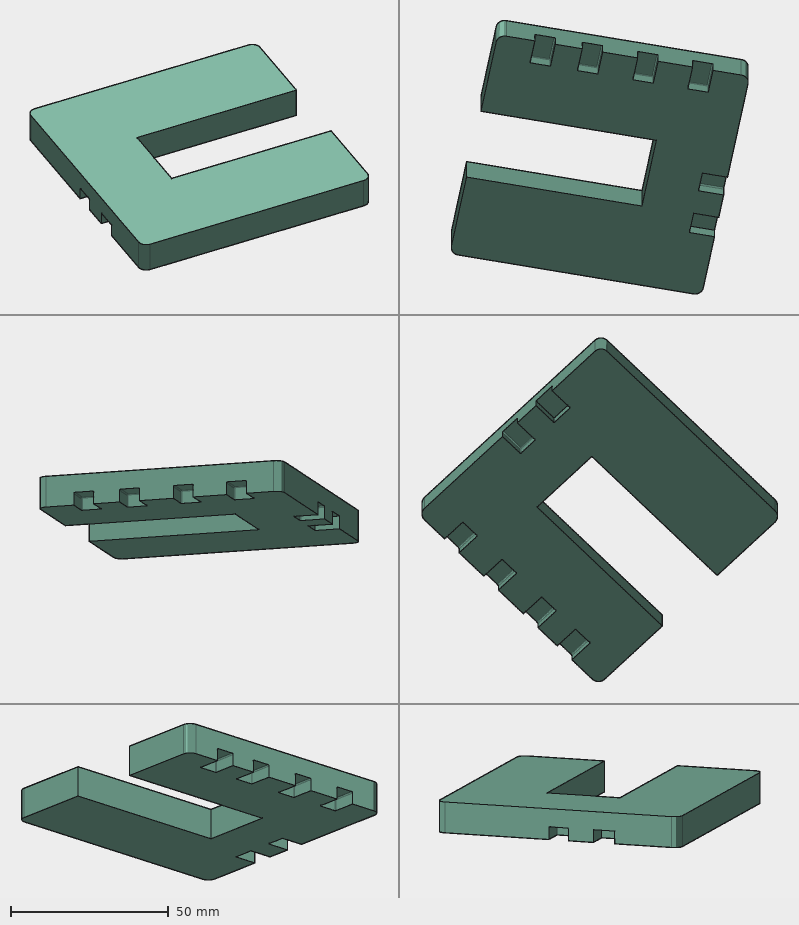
import cadquery as cq

SIDE = 81.3
THICKNESS = 10.0
CORNER_RADIUS = 2.8

SLOT_WIDTH = 24.4
SLOT_LENGTH = 56.6

NOTCH_HEIGHT = 4.15
NOTCH_DEPTH = 8.1
ROUNDED_NOTCH_WIDTH = 6.6
CEILING_DIAMETER = 0.8
END_RADIUS = 0.2
SQUARE_NOTCH_WIDTH = 7.15

FRONT_ROUNDED_NOTCH_X = 0.1
FRONT_SQUARE_NOTCH_X = 15.3
LEFT_NOTCH_YS = (25.4, 10.1, -7.8, -25.5)


def slab():
    plate = cq.Workplane("XY").box(SIDE, SIDE, THICKNESS)
    return plate.edges("|Z").fillet(CORNER_RADIUS)


def slot():
    center_y = (SIDE - SLOT_LENGTH) / 2
    return cq.Workplane("XY").box(SLOT_WIDTH, SLOT_LENGTH, THICKNESS).translate((0, center_y, 0))


def square_notch(width):
    """Block running inward from the -Y side along the bottom face, centred on X = 0."""
    center_y = (NOTCH_DEPTH - SIDE) / 2
    center_z = (NOTCH_HEIGHT - THICKNESS) / 2
    return cq.Workplane("XY").box(width, NOTCH_DEPTH, NOTCH_HEIGHT).translate((0, center_y, center_z))


def rounded_notch():
    """Notch with rounded ceiling corners and a closed end that blends into walls and ceiling."""
    notch = square_notch(ROUNDED_NOTCH_WIDTH)
    notch = notch.edges("|Y and >Z").fillet(CEILING_DIAMETER / 2)
    return notch.faces(">Y").edges("not <Z").fillet(END_RADIUS)


result = slab().cut(slot())

result = result.cut(rounded_notch().translate((FRONT_ROUNDED_NOTCH_X, 0, 0)))
result = result.cut(square_notch(SQUARE_NOTCH_WIDTH).translate((FRONT_SQUARE_NOTCH_X, 0, 0)))

left_notch = rounded_notch().rotate((0, 0, 0), (0, 0, 1), -90)
for notch_y in LEFT_NOTCH_YS:
    result = result.cut(left_notch.translate((0, notch_y, 0)))